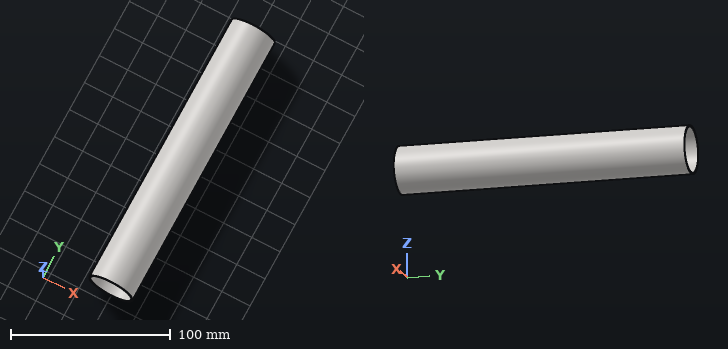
import cadquery as cq

length = 190.0
outer_diameter = 31.0
wall_thickness = 1.0
inner_diameter = outer_diameter - 2 * wall_thickness

result = (
    cq.Workplane("XZ", origin=(0, length / 2, 0))
    .circle(outer_diameter / 2)
    .circle(inner_diameter / 2)
    .extrude(length)
)